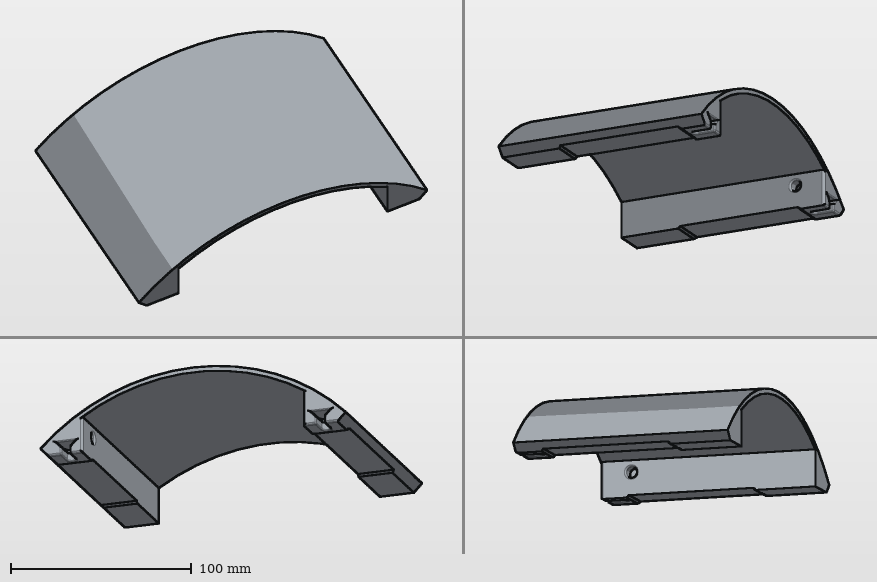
import cadquery as cq
import math

length = 125.0
span = 179.6
height = 42.0
lip_height = 5.0
lip_bevel = 4.8
shell_thickness = 2.9
inner_half_span = 65.0
entry_fillet = 1.3

relief_start = 15.0
relief_end = 90.0
relief_depth = 1.3

slot_offset = 74.9
slot_length = 10.0
shank_radius = 2.5
head_radius = 5.5
head_top = 7.7
mouth_fillet = 0.7

wall_hole_radius = 3.0
wall_hole_x = 17.8
wall_hole_z = 14.2
wall_hole_depth = 7.2
rim_fillet = 1.0

margin = 0.2

entry_x = -length / 2
half_span = span / 2
rise = height - lip_height
outer_radius = (half_span**2 + rise**2) / (2 * rise)
inner_radius = outer_radius - shell_thickness
arc_centre_z = height - outer_radius
inner_crown = height - shell_thickness
wall_top = arc_centre_z + math.sqrt(inner_radius**2 - inner_half_span**2)


def make_arch():
    """Arched shell with two legs, drawn in YZ and extruded along X."""
    foot_edge = half_span - lip_bevel
    return (
        cq.Workplane("YZ", origin=(entry_x, 0, 0))
        .moveTo(-half_span, lip_height)
        .threePointArc((0, height), (half_span, lip_height))
        .lineTo(foot_edge, 0)
        .lineTo(inner_half_span, 0)
        .lineTo(inner_half_span, wall_top)
        .threePointArc((0, inner_crown), (-inner_half_span, wall_top))
        .lineTo(-inner_half_span, 0)
        .lineTo(-foot_edge, 0)
        .close()
        .extrude(length)
    )


def round_entry_edges(body):
    """Round the foot and inner wall edges of both legs on the entry face."""
    return body.faces("<X").edges("|Z or (|Y and <Z)").fillet(entry_fillet)


def make_relief():
    """Shallow trapezoid across both feet, with 45 degree ends."""
    start = entry_x + relief_start
    end = entry_x + relief_end
    return (
        cq.Workplane("XZ")
        .polyline([
            (start, 0),
            (start + relief_depth, relief_depth),
            (end - relief_depth, relief_depth),
            (end, 0),
        ])
        .close()
        .extrude(half_span, both=True)
    )


def make_slot(y):
    """Countersunk slot, open at the entry face, with a rounded end."""
    end_x = entry_x + slot_length
    cone_bottom = head_top - (head_radius - shank_radius)
    half_profile = [
        (0, 0),
        (shank_radius, 0),
        (shank_radius, cone_bottom),
        (head_radius, head_top),
        (0, head_top),
    ]
    rounded_end = (
        cq.Workplane("XZ", origin=(end_x, y, 0))
        .polyline(half_profile)
        .close()
        .revolve(360, (0, 0), (0, 1))
    )
    half_channel = (
        cq.Workplane("YZ", origin=(entry_x, y, 0))
        .polyline(half_profile)
        .close()
        .extrude(slot_length)
    )
    channel = half_channel.union(half_channel.mirror("XZ", (0, y, 0)))
    return channel.union(rounded_end)


def edges_in_box(body, centre, half_size):
    """Edges of the body lying wholly inside an axis-aligned box."""
    low = tuple(c - h for c, h in zip(centre, half_size))
    high = tuple(c + h for c, h in zip(centre, half_size))
    return body.edges(cq.selectors.BoxSelector(low, high, boundingbox=True))


def cut_slot(body, y):
    """Cut one countersunk slot and round its edges on the entry face."""
    body = body.cut(make_slot(y))
    mouth_size = (margin, head_radius + margin, head_top + margin)
    return edges_in_box(body, (entry_x, y, 0), mouth_size).fillet(mouth_fillet)


def cut_wall_hole(body, side):
    """Cut one blind hole into the inner wall of a leg and round its rim."""
    centre = (entry_x + wall_hole_x, side * inner_half_span, wall_hole_z)
    hole = cq.Solid.makeCylinder(
        wall_hole_radius,
        wall_hole_depth,
        cq.Vector(*centre),
        cq.Vector(0, side, 0),
    )
    rim_size = (wall_hole_radius + margin, margin, wall_hole_radius + margin)
    return edges_in_box(body.cut(hole), centre, rim_size).fillet(rim_fillet)


result = round_entry_edges(make_arch()).cut(make_relief())
for side in (-1, 1):
    result = cut_slot(result, side * slot_offset)
    result = cut_wall_hole(result, side)